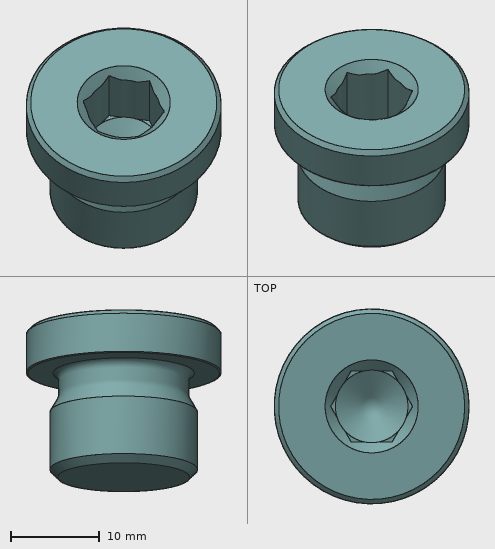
import cadquery as cq
import math

head_radius = 11.0
total_height = 17.0
head_height = 5.0
head_chamfer = 0.5

bevel_width = 0.2
bevel_height = 0.09

neck_radius = 7.35
shank_diameter = 16.65
shank_radius = shank_diameter / 2
neck_fillet_radius = 1.0
neck_fillet_height = 0.92
shoulder_angle = 30.0
shoulder_bottom = 9.48
shoulder_blend_radius = 1.32
end_chamfer = 0.88

hex_flats = 8.0
pilot_diameter = 8.18
countersink_diameter = 10.5
countersink_angle = 90.0
hex_depth = 8.0
drill_point_angle = 120.0

head_bottom = total_height - head_height
shank_top = total_height - shoulder_bottom
shoulder_slope = math.tan(math.radians(shoulder_angle))
shoulder_top = shank_top + (shank_radius - neck_radius) / shoulder_slope

blend_length = shoulder_blend_radius * math.tan(math.radians(shoulder_angle / 2))
blend_end_radius = neck_radius + blend_length * math.sin(math.radians(shoulder_angle))
blend_end_z = shoulder_top - blend_length * math.cos(math.radians(shoulder_angle))
half_angle = math.radians(shoulder_angle / 2)
blend_mid_radius = neck_radius + shoulder_blend_radius * (1 - math.cos(half_angle))
blend_mid_z = shoulder_top + blend_length - shoulder_blend_radius * math.sin(half_angle)

fillet_start_z = head_bottom - neck_fillet_height
fillet_sweep = math.asin(neck_fillet_height / neck_fillet_radius)
fillet_mid_radius = neck_radius + neck_fillet_radius * (1 - math.cos(fillet_sweep / 2))
fillet_mid_z = fillet_start_z + neck_fillet_radius * math.sin(fillet_sweep / 2)
fillet_end_radius = neck_radius + neck_fillet_radius * (1 - math.cos(fillet_sweep))


def revolved_body():
    """Head, filleted neck and chamfered shank as one turned profile."""
    profile = (
        cq.Workplane("XZ")
        .moveTo(0, 0)
        .lineTo(shank_radius - end_chamfer, 0)
        .lineTo(shank_radius, end_chamfer)
        .lineTo(shank_radius, shank_top)
        .lineTo(blend_end_radius, blend_end_z)
        .threePointArc((blend_mid_radius, blend_mid_z), (neck_radius, shoulder_top + blend_length))
        .lineTo(neck_radius, fillet_start_z)
        .threePointArc((fillet_mid_radius, fillet_mid_z), (fillet_end_radius, head_bottom))
        .lineTo(head_radius - bevel_width, head_bottom)
        .lineTo(head_radius, head_bottom + bevel_height)
        .lineTo(head_radius, total_height - head_chamfer)
        .lineTo(head_radius - head_chamfer, total_height)
        .lineTo(0, total_height)
        .close()
    )
    return profile.revolve(360, (0, 0, 0), (0, 1, 0))


def hex_socket():
    """Hexagon with corners on the X axis."""
    corner_diameter = hex_flats / math.cos(math.radians(30))
    return (
        cq.Workplane("XY")
        .workplane(offset=total_height)
        .polygon(6, corner_diameter)
        .extrude(-hex_depth)
    )


def pilot_and_countersink():
    """Pilot bore with its drill point and the countersink at the mouth."""
    pilot_radius = pilot_diameter / 2
    mouth_radius = countersink_diameter / 2
    mouth_slope = math.tan(math.radians(countersink_angle / 2))
    mouth_bottom = total_height - (mouth_radius - pilot_radius) / mouth_slope
    bore_bottom = total_height - hex_depth
    point_depth = pilot_radius / math.tan(math.radians(drill_point_angle / 2))
    profile = (
        cq.Workplane("XZ")
        .moveTo(0, total_height)
        .lineTo(mouth_radius, total_height)
        .lineTo(pilot_radius, mouth_bottom)
        .lineTo(pilot_radius, bore_bottom)
        .lineTo(0, bore_bottom - point_depth)
        .close()
    )
    return profile.revolve(360, (0, 0, 0), (0, 1, 0))


result = revolved_body().cut(hex_socket()).cut(pilot_and_countersink())